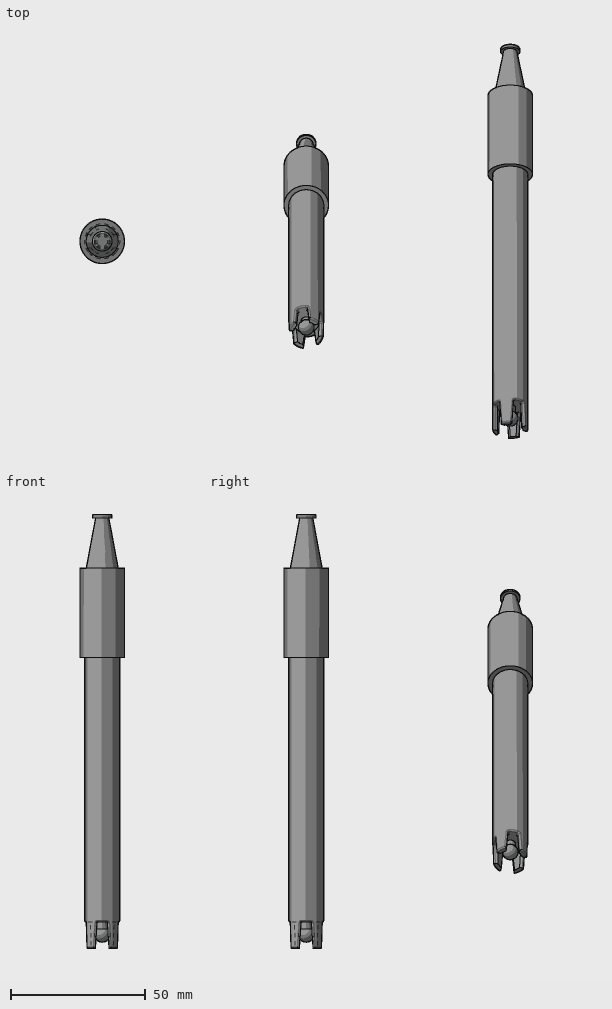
import cadquery as cq
import math

TOTAL_HEIGHT = 161.0
COLLAR_BOTTOM = 107.9
COLLAR_TOP = 141.0
SLOT_TOP = 9.8
BULB_BOTTOM = 2.3

COLLAR_DIAMETER = 16.6
NECK_BASE_DIAMETER = 11.9
NECK_TOP_DIAMETER = 5.0
FLANGE_DIAMETER = 7.2
FLANGE_THICKNESS = 1.5
FLANGE_ROUNDING = 0.6

TUBE_DIAMETER = 13.0
BORE_DIAMETER = 9.5
SLOT_WIDTH_AT_TOP = 3.9
SLOT_WIDTH_AT_TIPS = 5.0
SLOT_CORNER_RADIUS = 0.5
PRONG_EDGE_ROUNDING = 0.56

STEM_DIAMETER = 4.0
BULB_DIAMETER = 5.8

BORE_TOP = SLOT_TOP


def make_cap():
    """Collar, tapered neck and rounded end flange, turned as one piece."""
    flange_bottom = TOTAL_HEIGHT - FLANGE_THICKNESS
    turned = (
        cq.Workplane("XZ")
        .moveTo(0, COLLAR_BOTTOM)
        .lineTo(COLLAR_DIAMETER / 2, COLLAR_BOTTOM)
        .lineTo(COLLAR_DIAMETER / 2, COLLAR_TOP)
        .lineTo(NECK_BASE_DIAMETER / 2, COLLAR_TOP)
        .lineTo(NECK_TOP_DIAMETER / 2, flange_bottom)
        .lineTo(FLANGE_DIAMETER / 2, flange_bottom)
        .lineTo(FLANGE_DIAMETER / 2, TOTAL_HEIGHT)
        .lineTo(0, TOTAL_HEIGHT)
        .close()
        .revolve(360, (0, 0, 0), (0, 1, 0))
    )
    return turned.faces(">Z").edges().fillet(FLANGE_ROUNDING)


def make_slot_cutter():
    """Cutter along Y that widens towards the prong tips and has rounded upper corners."""
    return (
        cq.Workplane("XZ")
        .moveTo(-SLOT_WIDTH_AT_TIPS / 2, 0)
        .lineTo(SLOT_WIDTH_AT_TIPS / 2, 0)
        .lineTo(SLOT_WIDTH_AT_TOP / 2, SLOT_TOP)
        .lineTo(-SLOT_WIDTH_AT_TOP / 2, SLOT_TOP)
        .close()
        .extrude(TUBE_DIAMETER, both=True)
        .edges("|Y and >Z")
        .fillet(SLOT_CORNER_RADIUS)
    )


def is_outer_slot_edge(edge):
    """True for an edge of a slot or prong tip that lies on the outside of the tube."""
    tolerance = 0.002
    start_middle_end = [edge.positionAt(fraction) for fraction in (0, 0.5, 1)]
    on_outside = all(
        abs(math.hypot(point.x, point.y) - TUBE_DIAMETER / 2) < tolerance
        for point in start_middle_end
    )
    return on_outside and edge.BoundingBox().zmax < SLOT_TOP + tolerance


def make_tube():
    """Round tube whose open end is split into four prongs by two crossing slots."""
    body = cq.Workplane("XY").circle(TUBE_DIAMETER / 2).extrude(COLLAR_BOTTOM)
    slot_cutter = make_slot_cutter()
    for angle in (0, 90):
        body = body.cut(slot_cutter.rotate((0, 0, 0), (0, 0, 1), angle))
    body = body.edges().filter(is_outer_slot_edge).fillet(PRONG_EDGE_ROUNDING)
    bore = cq.Workplane("XY").circle(BORE_DIAMETER / 2).extrude(BORE_TOP)
    return body.cut(bore)


def make_bulb():
    """Ball at the lower end of a straight stem."""
    bulb_centre = BULB_BOTTOM + BULB_DIAMETER / 2
    base = cq.Workplane("XY", origin=(0, 0, bulb_centre))
    stem = base.circle(STEM_DIAMETER / 2).extrude(BORE_TOP - bulb_centre)
    ball = base.sphere(BULB_DIAMETER / 2)
    return stem.union(ball)


cap = make_cap()
tube = make_tube()
bulb = make_bulb()

result = cq.Compound.makeCompound([body.solids().val() for body in (cap, tube, bulb)])